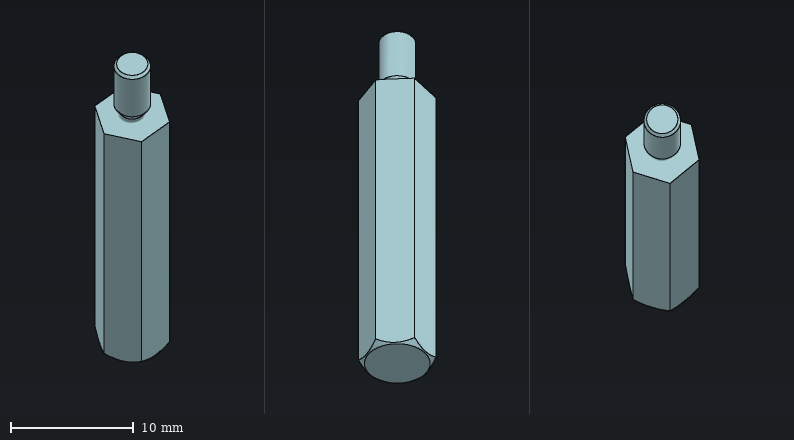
import cadquery as cq
import math

across_flats = 5.5
across_corners = across_flats / math.cos(math.radians(30))
total_height = 33.0
body_height = 27.0
bottom_face_diameter = 5.35

stud_radius = 3.0 / 2
neck_radius = 2.15 / 2
tip_chamfer = 0.23
root_fillet = 0.15
neck_top = 27.52
undercut_angle = 30.0


def make_body():
    """Hexagonal prism whose bottom corners are turned off by a 45 degree cone."""
    prism = cq.Workplane("XY").polygon(6, across_corners).extrude(body_height)
    bottom_radius = bottom_face_diameter / 2
    corner_radius = across_corners / 2
    chamfer_height = corner_radius - bottom_radius
    envelope = (
        cq.Workplane("XY")
        .circle(corner_radius)
        .extrude(body_height)
        .faces("<Z")
        .chamfer(chamfer_height)
    )
    return prism.intersect(envelope)


def make_stud():
    """Revolved stud: root fillet, neck, undercut cone, shank and chamfered tip."""
    undercut_height = (stud_radius - neck_radius) / math.tan(math.radians(undercut_angle))
    fillet_start = (neck_radius + root_fillet, body_height)
    fillet_end = (neck_radius, body_height + root_fillet)
    fillet_middle = (
        neck_radius + root_fillet * (1 - math.sqrt(0.5)),
        body_height + root_fillet * (1 - math.sqrt(0.5)),
    )
    base = body_height / 2
    return (
        cq.Workplane("XZ")
        .moveTo(0, base)
        .lineTo(neck_radius + root_fillet, base)
        .lineTo(*fillet_start)
        .threePointArc(fillet_middle, fillet_end)
        .lineTo(neck_radius, neck_top)
        .lineTo(stud_radius, neck_top + undercut_height)
        .lineTo(stud_radius, total_height - tip_chamfer)
        .lineTo(stud_radius - tip_chamfer, total_height)
        .lineTo(0, total_height)
        .close()
        .revolve(360, (0, 0, 0), (0, 1, 0))
    )


result = make_body().union(make_stud())